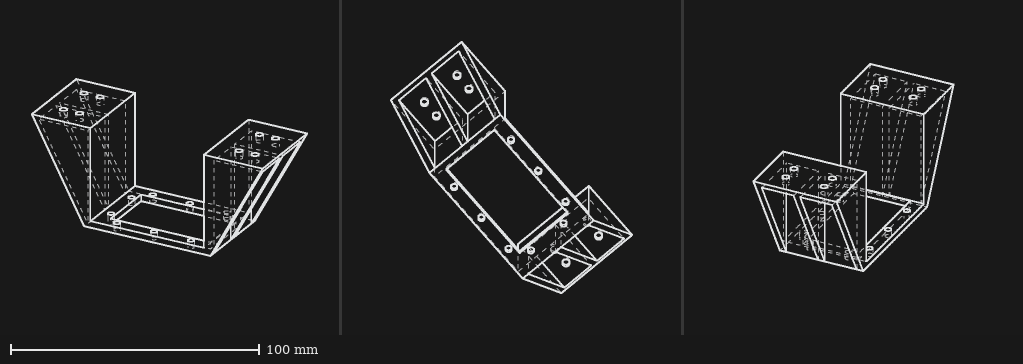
import cadquery as cq

length = 105.9
width = 37.5
height = 44.5

wall = 3.0
gap = 52.0
base_length = gap + 2 * wall

window_left = -20.0
window_right = 25.6
window_width = 25.5

base_hole_diameter = 2.6
side_hole_pitch = 16.9
side_hole_center_x = 1.1
side_hole_y = 15.0
end_hole_x = -22.1
leg_hole_diameter = 3.0
leg_hole_x = (36.5, 44.0)

pocket_width = (width - 3 * wall) / 2
pocket_y = (pocket_width + wall) / 2


def extrude_across(points, depth, center_y=0):
    """Extrude an XZ outline along Y, centred on center_y."""
    profile = cq.Workplane("XZ", origin=(0, center_y, 0)).polyline(points).close()
    return profile.extrude(depth / 2, both=True)


def vertical_holes(points, diameter):
    """Cylinders running through the full height."""
    return cq.Workplane("XY").pushPoints(points).circle(diameter / 2).extrude(height)


body = extrude_across(
    [
        (-base_length / 2, 0),
        (base_length / 2, 0),
        (length / 2, height),
        (gap / 2, height),
        (gap / 2, wall),
        (-gap / 2, wall),
        (-gap / 2, height),
        (-length / 2, height),
    ],
    width,
)

pocket_top = height - wall
for side in (-1, 1):
    pocket_outline = [
        (side * base_length / 2, 0),
        (side * base_length / 2, pocket_top),
        (side * length / 2, pocket_top),
        (side * length / 2, 0),
    ]
    for center_y in (-pocket_y, pocket_y):
        body = body.cut(extrude_across(pocket_outline, pocket_width, center_y))

window_length = window_right - window_left
window = (
    cq.Workplane("XY")
    .center((window_left + window_right) / 2, 0)
    .rect(window_length, window_width)
    .extrude(wall)
)
body = body.cut(window)

base_points = [(end_hole_x, y) for y in (-pocket_y, pocket_y)]
for step in (-1, 0, 1):
    for y in (-side_hole_y, side_hole_y):
        base_points.append((side_hole_center_x + step * side_hole_pitch, y))
body = body.cut(vertical_holes(base_points, base_hole_diameter))

leg_points = [
    (side * x, y)
    for side in (-1, 1)
    for x in leg_hole_x
    for y in (-pocket_y, pocket_y)
]
result = body.cut(vertical_holes(leg_points, leg_hole_diameter))